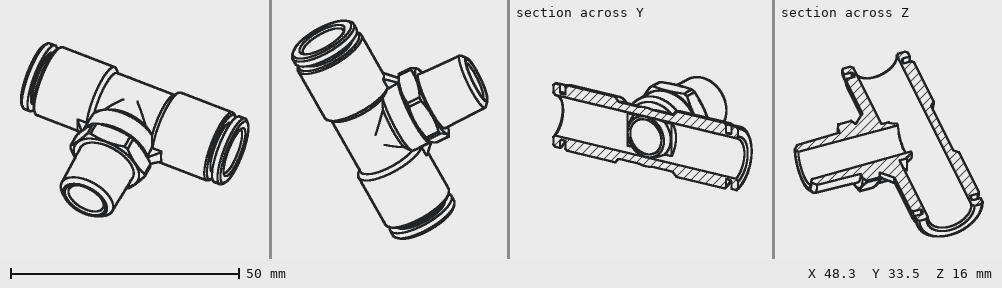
import cadquery as cq
import math


run_half_length = 24.15
body_radius = 7.995
body_half_length = 21.0
body_end_chamfer = 0.45
waist_radius = 7.0
waist_half_length = 7.0
waist_chamfer = body_radius - waist_radius

collar_radius = 7.75
collar_width = 1.85
collar_chamfer = 0.5
collar_neck_radius = 5.8
collar_neck_chamfer = 0.25

socket_radius = 5.05
socket_mouth_chamfer = 0.55
socket_stop = 5.8
passage_floor = 3.35

sleeve_radius = 7.95
sleeve_start = 6.0
sleeve_shoulder = 0.95
sleeve_end = 10.45
sleeve_end_chamfer = 0.25

rib_reach = 10.15
rib_root = 5.8
rib_tip_half_thickness = 1.4
rib_draft = 8.0

hex_width = 2 * body_radius
hex_corner_radius = 9.0
hex_face_radius = 7.9
hex_chamfer_height = 0.55
hex_height = 4.1
thread_start_radius = 6.6
thread_end_radius = 6.38
thread_length = 10.99
thread_tip_radius = 5.3
thread_tip_length = 0.95
insert_radius = 4.75
insert_flare_radius = 5.5
insert_start = 1.85
stud_bore_inner_radius = 4.05
stud_bore_outer_radius = 4.25
stud_mouth_radius = 4.95
stud_mouth_depth = 0.5

hex_end = sleeve_end + hex_height
stud_end = hex_end + thread_length


def turned_about_x(points):
    """Revolve (x, radius) points around the run axis."""
    return cq.Workplane("XY").polyline(points).close().revolve(360, (0, 0, 0), (1, 0, 0))


def turned_about_branch(points):
    """Revolve (radius, distance toward -Y) points around the branch axis."""
    profile = [(radius, -distance) for radius, distance in points]
    return cq.Workplane("XY").polyline(profile).close().revolve(360, (0, 0, 0), (0, 1, 0))


def mirrored_pair(half):
    return half.union(half.mirror("YZ"))


def run_outside():
    collar_back = run_half_length - collar_width
    half = turned_about_x([
        (0, 0),
        (0, waist_radius),
        (waist_half_length, waist_radius),
        (waist_half_length + waist_chamfer, body_radius),
        (body_half_length - body_end_chamfer, body_radius),
        (body_half_length, body_radius - body_end_chamfer),
        (body_half_length, collar_neck_radius),
        (collar_back - collar_neck_chamfer, collar_neck_radius),
        (collar_back, collar_neck_radius + collar_neck_chamfer),
        (collar_back, collar_radius),
        (run_half_length - collar_chamfer, collar_radius),
        (run_half_length, collar_radius - collar_chamfer),
        (run_half_length, 0),
    ])
    return mirrored_pair(half)


def branch_sleeve():
    return turned_about_branch([
        (0, 0),
        (waist_radius, 0),
        (waist_radius, sleeve_start - sleeve_shoulder),
        (sleeve_radius, sleeve_start),
        (sleeve_radius, sleeve_end - sleeve_end_chamfer),
        (sleeve_radius - sleeve_end_chamfer, sleeve_end),
        (0, sleeve_end),
    ])


def ribs():
    """Two triangular ribs, drafted thinner toward the hexagon, sloping in line with the sleeve chamfer."""
    tip_x = sleeve_radius - sleeve_end_chamfer
    rib_top = sleeve_end - (rib_reach - tip_x)
    outline = [
        (-rib_reach, -rib_root),
        (rib_reach, -rib_root),
        (rib_reach, -rib_top),
        (tip_x, -sleeve_end),
        (-tip_x, -sleeve_end),
        (-rib_reach, -rib_top),
    ]
    root_half_thickness = rib_tip_half_thickness + (sleeve_end - rib_root) * math.tan(math.radians(rib_draft))
    section = [
        (-rib_root, root_half_thickness),
        (-sleeve_end, rib_tip_half_thickness),
        (-sleeve_end, -rib_tip_half_thickness),
        (-rib_root, -root_half_thickness),
    ]
    plate = cq.Workplane("XY").polyline(outline).close().extrude(root_half_thickness, both=True)
    drafted_bar = cq.Workplane("YZ").polyline(section).close().extrude(rib_reach, both=True)
    return plate.intersect(drafted_bar)


def socket_cavity():
    """Round sockets with chamfered mouths, joined by a passage with a flat floor."""
    half = turned_about_x([
        (socket_stop, 0),
        (socket_stop, socket_radius),
        (run_half_length - socket_mouth_chamfer, socket_radius),
        (run_half_length, socket_radius + socket_mouth_chamfer),
        (run_half_length, 0),
    ])
    passage = cq.Workplane("YZ").circle(socket_radius).extrude(socket_stop, both=True)
    above_floor = cq.Workplane("XY").box(
        2 * socket_stop, passage_floor + socket_radius, 2 * socket_radius
    ).translate((0, (socket_radius - passage_floor) / 2, 0))
    return mirrored_pair(half).union(passage.intersect(above_floor))


def hexagon():
    """Hexagon with flats facing +Z and -Z, its corners turned round and chamfered."""
    across_corners = hex_width / math.cos(math.pi / 6)
    prism = (
        cq.Workplane("XZ", origin=(0, -sleeve_end, 0))
        .polygon(6, across_corners)
        .extrude(hex_height)
    )
    turned_blank = turned_about_branch([
        (0, sleeve_end),
        (hex_face_radius, sleeve_end),
        (hex_corner_radius, sleeve_end + hex_chamfer_height),
        (hex_corner_radius, hex_end - hex_chamfer_height),
        (hex_face_radius, hex_end),
        (0, hex_end),
    ])
    return prism.intersect(turned_blank)


def stud_shank():
    """Insert reaching into the passage at one end and the tapered thread at the other."""
    return turned_about_branch([
        (0, insert_start),
        (insert_radius, insert_start),
        (insert_flare_radius, passage_floor),
        (insert_flare_radius, sleeve_end),
        (thread_start_radius, sleeve_end),
        (thread_start_radius, hex_end),
        (thread_end_radius, stud_end - thread_tip_length),
        (thread_tip_radius, stud_end),
        (0, stud_end),
    ])


def stud_bore():
    return turned_about_branch([
        (0, insert_start),
        (stud_bore_inner_radius, insert_start),
        (stud_bore_outer_radius, stud_end - stud_mouth_depth),
        (stud_mouth_radius, stud_end - 0),
        (0, stud_end),
    ])


housing = run_outside().union(branch_sleeve()).union(ribs()).cut(socket_cavity())
result = housing.union(stud_shank()).union(hexagon()).cut(stud_bore())